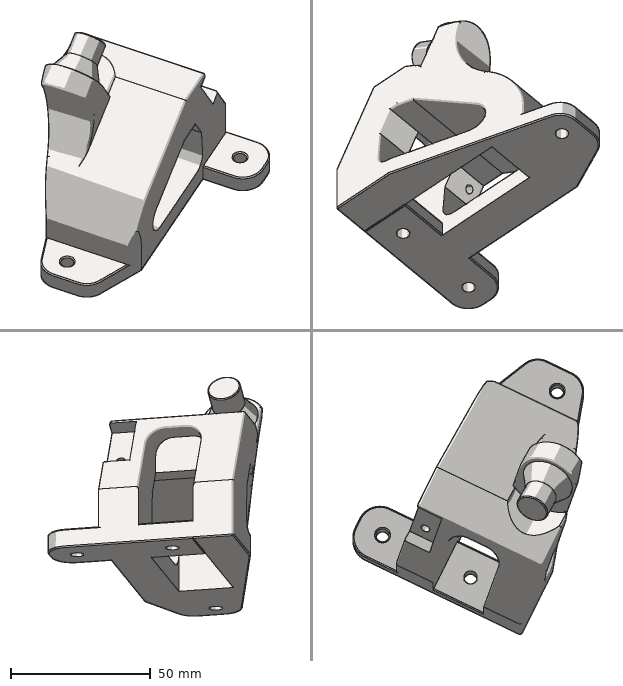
import cadquery as cq
import math


width = 50.0
height = 51.8
length = 92.6
back_wall_height = 20.8
back_slope = 60.0
front_wall_y = -76.5
front_wall_height = 12.0
front_radius = 25.5
front_slope = 30.0
edge_radius = 1.0

flange_height = 6.9
flange_chamfer = 0.5
side_flange_reach = 20.0
side_flange_depth = 19.8
side_flange_radius = 8.1
front_flange_radius = 7.6
screw_diameter = 4.7
screw_chamfer = 0.5
back_screw = (width / 2, -side_flange_depth / 2)
side_screw = (width + side_flange_reach / 2, -side_flange_depth / 2)
front_screw = (27.0, -84.4)

taper_center = (-93.2, front_wall_height)
left_taper_radius = 67.6
left_taper_angle = 16.2
right_taper_radius = 22.0
right_taper_angle = 25.4

head_radius = 11.4
grip_radius = 19.5
clearance_radius = 15.4
neck_root = 2.8

spigot_tip_height = 70.7
spigot_radius = 5.9
spigot_length = 14.9
spigot_straight = 8.3
spigot_chamfer = 0.4
cone_radius = 9.45

window_floor = 8.2
window_roof = 33.7
window_roof_back_y = -26.1
window_roof_front_y = -35.2
window_bend_z = 24.8
window_back_y = -19.6
window_back_radius = 5.1
window_front_radius = 6.5

plate_thickness = 15.0
arch_height = 46.5
arch_radius = 6.5

pocket_width = 10.0
pocket_span = 20.2
pocket_depth = 5.0
pocket_end_y = -17.2
pilot_diameter = 3.2
pilot_from_end = 15.0
pilot_reach = 16.7

beyond = 55.6
tolerance = 0.01
mouth_nearness = 0.5
mouth_rise = 0.9

slope_cos = math.cos(math.radians(front_slope))
slope_sin = math.sin(math.radians(front_slope))
slope_tan = slope_sin / slope_cos
back_slope_tan = math.tan(math.radians(back_slope))

back_slope_top_y = (back_wall_height - height) / back_slope_tan
round_center_y = front_wall_y + front_radius
slope_foot = (round_center_y - front_radius * slope_sin, front_wall_height + front_radius * slope_cos)
slope_top_y = slope_foot[0] + (height - slope_foot[1]) / slope_tan

spigot_tip = (slope_foot[1] + (head_radius + spigot_radius) * slope_cos - spigot_tip_height) / slope_sin
head_back = spigot_tip + spigot_length


def slope_point(down, out):
    """YZ point at a distance down the front slope from its foot, and out of it."""
    return (
        slope_foot[0] - down * slope_cos - out * slope_sin,
        slope_foot[1] - down * slope_sin + out * slope_cos,
    )


def head_section(down):
    """Workplane square to the head axis: local x is X, local y points out of the slope."""
    y, z = slope_point(down, head_radius)
    return cq.Workplane(cq.Plane((head_radius, y, z), (1, 0, 0), (0, -slope_cos, -slope_sin)))


def side_profile(points):
    return cq.Workplane("YZ").polyline(points).close()


def block():
    middle = math.radians(180 - (90 - front_slope) / 2)
    round_middle = (
        round_center_y + front_radius * math.cos(middle),
        front_wall_height + front_radius * math.sin(middle),
    )
    return (
        cq.Workplane("YZ")
        .lineTo(0, back_wall_height)
        .lineTo(back_slope_top_y, height)
        .lineTo(slope_top_y, height)
        .lineTo(*slope_foot)
        .threePointArc(round_middle, (front_wall_y, front_wall_height))
        .lineTo(front_wall_y, 0)
        .close()
        .extrude(width)
    )


def front_flange():
    return cq.Workplane("XY").rect(width, -length, centered=False).extrude(flange_height)


def head():
    """Domed head on a straight neck, its front hollowed by the round grip."""
    dome = head_section(head_back).circle(head_radius).extrude(beyond)
    neck = (
        head_section(head_back)
        .center(0, -head_radius)
        .rect(2 * head_radius, 2 * head_radius)
        .extrude(beyond)
    )
    top = 2 * head_radius + edge_radius
    grip_top = -math.sqrt(grip_radius**2 - (top - grip_radius) ** 2)
    outline = (
        cq.Workplane("YZ")
        .moveTo(*slope_point(head_back, -neck_root))
        .lineTo(*slope_point(head_back, top))
        .lineTo(*slope_point(grip_top, top))
        .threePointArc(slope_point(-grip_radius, grip_radius), slope_foot)
        .lineTo(*slope_point(0, -neck_root))
        .close()
        .extrude(width)
    )
    return dome.union(neck).intersect(outline)


def taper_cut(face_x, inward, radius, angle):
    """Waste outside a tapered side: flat below the taper centre, then conical, then flat again
    square out of the front slope. It starts at the radius and deepens toward the taper centre."""
    rise = math.tan(math.radians(angle))
    outer_x = face_x - inward * edge_radius
    section = [
        (radius + edge_radius / rise, outer_x),
        (0, outer_x),
        (0, face_x + inward * radius * rise),
    ]

    def waste(direction):
        normal = (0, direction[2], -direction[1])
        plane = cq.Plane((0, *taper_center), direction, normal)
        return cq.Workplane(plane).polyline(section).close()

    lower = waste((0, 1, 0)).extrude(beyond)
    cone = waste((0, 1, 0)).revolve(front_slope, (0, 0), (0, 1))
    upper = waste((0, slope_cos, slope_sin)).extrude(-beyond)
    return lower.union(cone).union(upper)


def taper_sides(body):
    """Cuts both sides to their tapers."""
    body = body.cut(taper_cut(0, 1, left_taper_radius, left_taper_angle))
    return body.cut(taper_cut(width, -1, right_taper_radius, right_taper_angle))


def window():
    bend_y = window_roof_back_y + (window_roof - window_bend_z) / back_slope_tan
    floor_front_y = window_roof_front_y - (window_roof - window_floor) / slope_tan
    return (
        side_profile(
            [
                (window_roof_back_y, window_roof),
                (bend_y, window_bend_z),
                (window_back_y, window_floor),
                (floor_front_y, window_floor),
                (window_roof_front_y, window_roof),
            ]
        )
        .extrude(width)
        .edges("|X and <Z and >Y")
        .fillet(window_back_radius)
        .edges("|X and <Z and <Y")
        .fillet(window_front_radius)
    )


def out_of_slope(point):
    """Distance of a point out of the front slope's plane."""
    return (point.z - slope_foot[1]) * slope_cos + (point.y - slope_foot[0]) * -slope_sin


def is_swept_along_x(face):
    return face.geomType() in ("PLANE", "CYLINDER") and abs(face.normalAt().x) < tolerance


def swept_rims(body):
    """Side ends of the faces swept along X."""
    edges = body.faces().filter(is_swept_along_x).edges()
    return edges.filter(lambda edge: abs(edge.tangentAt(0).x) < 0.9 - tolerance)


def round_block(body):
    rims = swept_rims(body).filter(lambda edge: edge.Center().z > flange_height + tolerance)
    return rims.fillet(edge_radius)


def round_head(body):
    rims = swept_rims(body).filter(lambda edge: out_of_slope(edge.Center()) > tolerance)
    return rims.fillet(edge_radius)


def round_window(body):
    """Rounds the window's left rim."""

    def on_left_rim(edge):
        center = edge.Center()
        in_window_height = window_floor - tolerance < center.z < window_roof + tolerance
        in_window_length = front_wall_y + plate_thickness < center.y < window_back_y + tolerance
        return in_window_height and in_window_length and center.x < plate_thickness

    return swept_rims(body).filter(on_left_rim).fillet(edge_radius)


def chamfer_front_flange(body):
    def on_rim(edge):
        center = edge.Center()
        return abs(center.z - flange_height) < tolerance and center.y < front_wall_y - tolerance

    return body.edges().filter(on_rim).chamfer(flange_chamfer)


def hollow():
    """Arched tunnel from the back into the window, with the underside opened below both."""
    arch_depth = -window_roof_back_y
    front_y = front_wall_y + plate_thickness
    hollow_width = width - 2 * plate_thickness
    arch = (
        cq.Workplane("XY")
        .box(hollow_width, arch_depth, arch_height, centered=False)
        .translate((plate_thickness, -arch_depth, 0))
        .edges("|Y and >Z")
        .fillet(arch_radius)
    )
    opening = (
        cq.Workplane("XY")
        .box(hollow_width, -front_y, window_floor + window_front_radius, centered=False)
        .translate((plate_thickness, front_y, 0))
    )
    return arch.union(opening)


def round_arch(body):
    """Rounds the mouth of the arch in the back slope."""

    def on_mouth(edge):
        center = edge.Center()
        slope_z = back_wall_height - center.y * back_slope_tan
        inside = plate_thickness - tolerance < center.x < width - plate_thickness + tolerance
        near_slope = abs(center.z - slope_z) < mouth_nearness
        return inside and near_slope and center.z > back_wall_height + mouth_rise

    return body.edges().filter(on_mouth).fillet(edge_radius)


def side_flange():
    """Flange along the back, flooring the hollow and reaching out to the right."""
    reach = width - plate_thickness + side_flange_reach
    plate = (
        cq.Workplane("XY")
        .rect(reach, -side_flange_depth, centered=False)
        .extrude(flange_height)
        .edges("|Z and >X")
        .fillet(side_flange_radius)
    )
    return plate.faces("<Z or >Z").chamfer(flange_chamfer).translate((plate_thickness, 0, 0))


def slope_pocket():
    """Pocket square into the back slope, with a pilot hole from its floor to the window."""
    sin, cos = math.sin(math.radians(back_slope)), math.cos(math.radians(back_slope))
    end_z = back_wall_height - pocket_end_y * back_slope_tan
    plane = cq.Plane((width, pocket_end_y, end_z), (-1, 0, 0), (0, sin, cos))
    pocket = cq.Workplane(plane).rect(pocket_width, -pocket_span, centered=False).extrude(-pocket_depth)
    pilot = (
        cq.Workplane(plane)
        .center(pocket_width / 2, -pilot_from_end)
        .circle(pilot_diameter / 2)
        .extrude(-pilot_reach)
    )
    return pocket.union(pilot)


def screw_hole(place, countersunk):
    hole = cq.Workplane("XY").center(*place).circle(screw_diameter / 2).extrude(flange_height)
    if countersunk:
        rim = cq.Workplane("XY", (*place, flange_height)).circle(screw_diameter / 2 + screw_chamfer)
        hole = hole.union(rim.extrude(-screw_diameter / 2, taper=45))
    return hole


def spigot():
    """Straight pin that widens as a cone onto the head."""
    pin = head_section(spigot_tip).circle(spigot_radius).extrude(spigot_length)
    cone = (
        head_section(spigot_tip + spigot_straight)
        .circle(spigot_radius)
        .workplane(offset=spigot_length - spigot_straight)
        .circle(cone_radius)
        .loft()
    )
    tip_center = head_section(spigot_tip).plane.origin
    tip_edge = cq.selectors.NearestToPointSelector(tip_center.toTuple())
    return pin.union(cone).edges(tip_edge).chamfer(spigot_chamfer)


def clearance():
    """Round scoop behind the head, about the head axis."""
    return head_section(head_back).circle(clearance_radius).extrude(-beyond)


body = taper_sides(block().union(front_flange()))
body = body.edges("|Z and <Y").fillet(front_flange_radius)
body = round_block(body)
body = chamfer_front_flange(body)
body = body.faces("<Z").chamfer(flange_chamfer)
body = round_window(body.cut(window()))
body = round_arch(body.cut(hollow()))
body = body.union(round_head(taper_sides(head())))
body = body.union(side_flange())
body = body.cut(clearance()).union(spigot())
body = body.cut(slope_pocket())
body = body.cut(screw_hole(back_screw, False))
body = body.cut(screw_hole(side_screw, True))
body = body.cut(screw_hole(front_screw, True))
result = body